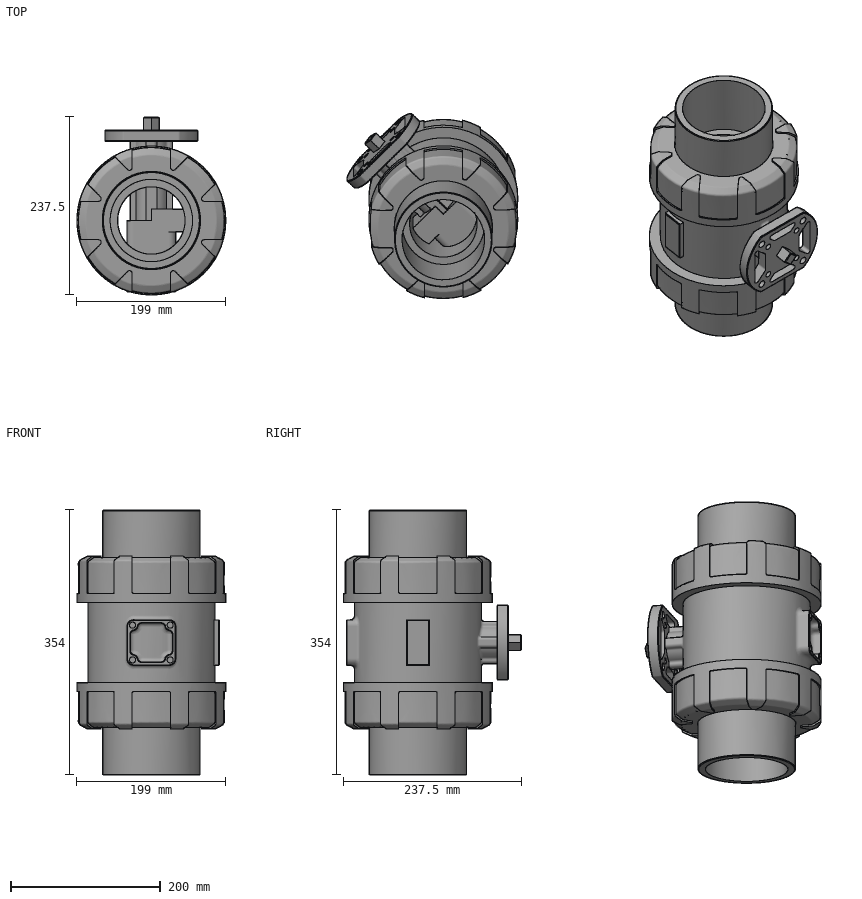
import cadquery as cq
import math

TOTAL_LENGTH = 354.0
PIPE_DIAMETER = 130.3
PIPE_CHAMFER = 1.0
BODY_DIAMETER = 170.0
SOCKET_DIAMETER = 110.0
SOCKET_DEPTH = 88.5
BORE_DIAMETER = 90.0

NUT_DIAMETER = 199.0
NUT_BASE_Z = 53.5
NUT_SKIRT_HEIGHT = 12.0
NUT_TOP_Z = 113.3
NUT_HOLE_DIAMETER = 131.5
NUT_HOLE_DEPTH = 7.0
PANEL_COUNT = 8
PANEL_WIDTH = 51.5
PANEL_BOTTOM_RADIUS = 97.5
PANEL_TOP_RADIUS = 97.7
PANEL_CORNER_RADIUS = 2.0
BEVEL_WIDTH = 10.3
BEVEL_HEIGHT = 5.5
BEVEL_ROUNDING = 3.5
RIB_RISE = 2.0
RIB_TIP_RADIUS = 3.5

PAD_WIDTH = 65.0
PAD_HEIGHT = 61.0
PAD_CORNER_RADIUS = 9.0
PAD_FACE_Y = -95.2
PAD_BLEND_RADIUS = 5.3
PAD_EDGE_CHAMFER = 0.7
PAD_HOLE_DIAMETER = 8.0
PAD_HOLE_DEPTH = 9.0
PAD_HOLE_SPACING_X = 50.3
PAD_HOLE_SPACING_Z = 46.5
POCKET_WIDTH = 56.0
POCKET_HEIGHT = 51.7
POCKET_CORNER_RADIUS = 5.3
POCKET_FLOOR_RADIUS = 5.3
HOLE_WALL_DIAMETER = 14.5

PLATE_FACE_X = 90.5
PLATE_WIDTH = 30.5
PLATE_HEIGHT = 61.0
PLATE_CHAMFER = 1.0

NECK_DIAMETER = 43.5
NECK_ARM_SPAN = 56.5
NECK_ARM_WIDTH = 14.5
NECK_TIP_RADIUS = 4.2
NECK_ROOT_RADIUS = 3.5
NECK_BLEND_RADIUS = 3.5
FLANGE_DIAMETER = 124.5
FLANGE_HEIGHT = 100.0
FLANGE_INNER_Y = 105.5
FLANGE_THICKNESS = 15.2
FLANGE_CORNER_RADIUS = 3.5
FLANGE_EDGE_CHAMFER = 1.0

QUARTERS = 4
INNER_CIRCLE_RADIUS = 35.0
INNER_HOLE_DIAMETER = 8.0
OUTER_CIRCLE_RADIUS = 51.0
OUTER_HOLE_DIAMETER = 10.0
WINDOW_INNER = 29.5
SIDE_WINDOW_OUTER = 48.5
END_WINDOW_OUTER = 42.0
WINDOW_SIDE_OFFSET = 15.2
WINDOW_CORNER_RADIUS = 3.5

STEM_TIP_Y = 138.0
STEM_DIAGONAL = 21.2
STEM_CHAMFER = 1.0

SEAM_TOLERANCE = 0.05

body_radius = BODY_DIAMETER / 2
flange_outer_y = FLANGE_INNER_Y + FLANGE_THICKNESS


def facing_y(start_y):
    """Workplane at start_y whose local axes are Z and X; extrusion runs toward +Y."""
    return cq.Workplane("ZX", origin=(0, start_y, 0))


def cylinder(diameter, length):
    """Cylinder along Z, centred on the origin."""
    return cq.Workplane("XY").circle(diameter / 2).extrude(length / 2, both=True)


def nut_turning(bottom_radius, top_radius, base_z, top_z):
    """Turned ring on the pipe with a bevelled upper rim."""
    hole_radius = BORE_DIAMETER / 2
    profile = [
        (hole_radius, base_z),
        (bottom_radius, base_z),
        (top_radius, top_z - BEVEL_HEIGHT),
        (top_radius - BEVEL_WIDTH, top_z),
        (hole_radius, top_z),
    ]
    ring = cq.Workplane("XZ").polyline(profile).close().revolve(360, (0, 0, 0), (0, 1, 0))
    bevel_edges = cq.selectors.BoxSelector(
        (-NUT_DIAMETER, -NUT_DIAMETER, base_z + NUT_SKIRT_HEIGHT),
        (NUT_DIAMETER, NUT_DIAMETER, TOTAL_LENGTH),
    )
    bore_edges = cq.selectors.RadiusNthSelector(0)
    return ring.edges("%CIRCLE").edges(bevel_edges - bore_edges).fillet(BEVEL_ROUNDING)


def union_nut():
    """Upper union nut."""
    panel_base_z = NUT_BASE_Z + NUT_SKIRT_HEIGHT
    rib_top_z = NUT_TOP_Z + RIB_RISE
    nut_radius = NUT_DIAMETER / 2
    ribs = nut_turning(nut_radius, nut_radius, NUT_BASE_Z, rib_top_z)
    channel_height = TOTAL_LENGTH / 2 - panel_base_z
    for index in range(PANEL_COUNT // 2):
        channel = (
            cq.Workplane("XY")
            .box(2 * NUT_DIAMETER, PANEL_WIDTH, channel_height, centered=(True, True, False))
            .edges("<Z and |X")
            .fillet(PANEL_CORNER_RADIUS)
            .translate((0, 0, panel_base_z))
            .rotate((0, 0, 0), (0, 0, 1), index * 360 / PANEL_COUNT)
        )
        ribs = ribs.cut(channel)
    tip_radius = PANEL_WIDTH / 2 / math.sin(math.pi / PANEL_COUNT)
    tips = cq.selectors.BoxSelector(
        (-tip_radius, -tip_radius, panel_base_z), (tip_radius, tip_radius, rib_top_z)
    )
    ribs = ribs.edges("|Z").edges(tips).fillet(RIB_TIP_RADIUS)
    core = nut_turning(PANEL_BOTTOM_RADIUS, PANEL_TOP_RADIUS, NUT_BASE_Z, NUT_TOP_Z)
    clearance = cylinder(NUT_HOLE_DIAMETER, 2 * (NUT_TOP_Z + RIB_RISE)).cut(
        cylinder(NUT_HOLE_DIAMETER, 2 * (NUT_TOP_Z - NUT_HOLE_DEPTH))
    )
    return core.union(ribs).cut(clearance)


def outer_shell():
    """Solid pipe with both union nuts, before boring."""
    pipe = cylinder(PIPE_DIAMETER, TOTAL_LENGTH).faces("<Z or >Z").edges().chamfer(PIPE_CHAMFER)
    nut = union_nut()
    return pipe.union(nut).union(nut.mirror("XY"))


def pad_block(start_y, end_y):
    """Rounded rectangular block of the pad's outline."""
    return (
        facing_y(start_y)
        .rect(PAD_HEIGHT, PAD_WIDTH)
        .extrude(end_y - start_y)
        .edges("|Y")
        .fillet(PAD_CORNER_RADIUS)
    )


def pad_bars(diameter, length):
    """Four bars at the screw positions, running inward from the pad face."""
    return (
        facing_y(PAD_FACE_Y)
        .rect(PAD_HOLE_SPACING_Z, PAD_HOLE_SPACING_X, forConstruction=True)
        .vertices()
        .circle(diameter / 2)
        .extrude(length)
    )


def pad_pocket():
    """Cutter for the pad pocket: notched around the screw holes, floor following the body."""
    depth = body_radius
    pocket = (
        facing_y(PAD_FACE_Y)
        .rect(POCKET_HEIGHT, POCKET_WIDTH)
        .extrude(depth)
        .cut(pad_bars(HOLE_WALL_DIAMETER, depth))
        .edges("|Y")
        .fillet(POCKET_CORNER_RADIUS)
        .cut(cylinder(BODY_DIAMETER, TOTAL_LENGTH))
    )
    floor = cq.selectors.NearestToPointSelector((0, -body_radius, 0))
    return pocket.faces(floor).edges().fillet(POCKET_FLOOR_RADIUS)


def name_plate(end_x):
    """Rectangular block from the valve axis out to end_x."""
    return cq.Workplane("YZ").rect(PLATE_WIDTH, PLATE_HEIGHT).extrude(end_x)


def neck_core(end_y):
    """Round stem neck with four arms, from the valve axis out to end_y."""
    neck = facing_y(0).circle(NECK_DIAMETER / 2).extrude(end_y)
    for height, width in ((NECK_ARM_SPAN, NECK_ARM_WIDTH), (NECK_ARM_WIDTH, NECK_ARM_SPAN)):
        neck = neck.union(facing_y(0).rect(height, width).extrude(end_y))
    return neck


def rounded_neck(end_y):
    """Neck with its arm roots and arm tips rounded."""
    neck = neck_core(end_y)
    reach = NECK_DIAMETER / 2
    roots = cq.selectors.BoxSelector((-reach, 0, -reach), (reach, end_y, reach))
    neck = neck.edges("|Y").edges(roots).fillet(NECK_ROOT_RADIUS)
    return neck.faces("<X or >X or <Z or >Z").edges("|Y").fillet(NECK_TIP_RADIUS)


def mounting_flange():
    """Round flange with two flats, four windows and two rings of diagonal holes."""
    flange = (
        facing_y(FLANGE_INNER_Y)
        .circle(FLANGE_DIAMETER / 2)
        .extrude(FLANGE_THICKNESS)
        .intersect(facing_y(FLANGE_INNER_Y).rect(FLANGE_HEIGHT, FLANGE_DIAMETER).extrude(FLANGE_THICKNESS))
        .edges("|Y")
        .fillet(FLANGE_CORNER_RADIUS)
        .faces("<Y or >Y")
        .edges()
        .chamfer(FLANGE_EDGE_CHAMFER)
    )
    for quarter in range(QUARTERS):
        outer = SIDE_WINDOW_OUTER if quarter % 2 else END_WINDOW_OUTER
        inner_half = WINDOW_INNER - WINDOW_SIDE_OFFSET
        outer_half = outer - WINDOW_SIDE_OFFSET
        window = (
            facing_y(FLANGE_INNER_Y)
            .polyline(
                [
                    (WINDOW_INNER, -inner_half),
                    (outer, -outer_half),
                    (outer, outer_half),
                    (WINDOW_INNER, inner_half),
                ]
            )
            .close()
            .extrude(FLANGE_THICKNESS)
            .edges("|Y")
            .fillet(WINDOW_CORNER_RADIUS)
        )
        flange = flange.cut(window.rotate((0, 0, 0), (0, 1, 0), quarter * 360 / QUARTERS))
    for circle_radius, diameter in (
        (INNER_CIRCLE_RADIUS, INNER_HOLE_DIAMETER),
        (OUTER_CIRCLE_RADIUS, OUTER_HOLE_DIAMETER),
    ):
        holes = (
            facing_y(FLANGE_INNER_Y)
            .polarArray(circle_radius, 180 / QUARTERS, 360, QUARTERS)
            .circle(diameter / 2)
            .extrude(FLANGE_THICKNESS)
        )
        flange = flange.cut(holes)
    return flange


def stem():
    """Square stem standing on its corner, from the flange to its tip."""
    return (
        facing_y(flange_outer_y)
        .polygon(4, STEM_DIAGONAL)
        .extrude(STEM_TIP_Y - flange_outer_y)
        .faces(">Y")
        .edges()
        .chamfer(STEM_CHAMFER)
    )


def waterway():
    """Cutter for the through bore with a pipe socket at each end."""
    bore = cylinder(BORE_DIAMETER, TOTAL_LENGTH)
    sockets = cylinder(SOCKET_DIAMETER, TOTAL_LENGTH).cut(
        cylinder(SOCKET_DIAMETER, TOTAL_LENGTH - 2 * SOCKET_DEPTH)
    )
    return bore.union(sockets)


def body_seam(body, side):
    """Edges where a feature on the given Y side (-1 or +1) meets the body cylinder."""

    def on_body(edge):
        points = [edge.positionAt(fraction) for fraction in (0, 0.3, 0.7, 1)]
        return all(
            abs(math.hypot(point.x, point.y) - body_radius) < SEAM_TOLERANCE
            and abs(point.z) < NUT_BASE_Z - SEAM_TOLERANCE
            and side * point.y > body_radius / 2
            for point in points
        )

    return body.edges().filter(on_body)


def central_body():
    """Body cylinder with the pocketed pad and the neck blended into it."""
    body = cylinder(BODY_DIAMETER, 2 * NUT_BASE_Z).union(pad_block(PAD_FACE_Y, 0))
    body = body_seam(body, -1).fillet(PAD_BLEND_RADIUS)
    body = body.cut(pad_pocket()).faces("<Y").edges().chamfer(PAD_EDGE_CHAMFER)
    body = body.cut(pad_bars(PAD_HOLE_DIAMETER, PAD_HOLE_DEPTH))
    body = body.union(rounded_neck(FLANGE_INNER_Y))
    return body_seam(body, 1).fillet(NECK_BLEND_RADIUS)


def inner_blocks():
    """Roots of the pad, name plate and neck, which cross the bore as far as the valve axis."""
    reach = SOCKET_DIAMETER / 2
    return pad_block(-reach, 0).union(name_plate(reach)).union(neck_core(reach))


plate = name_plate(PLATE_FACE_X).faces(">X").edges().chamfer(PLATE_CHAMFER)
housing = outer_shell().union(central_body()).union(plate).union(mounting_flange()).union(stem())
result = housing.cut(waterway()).union(inner_blocks())